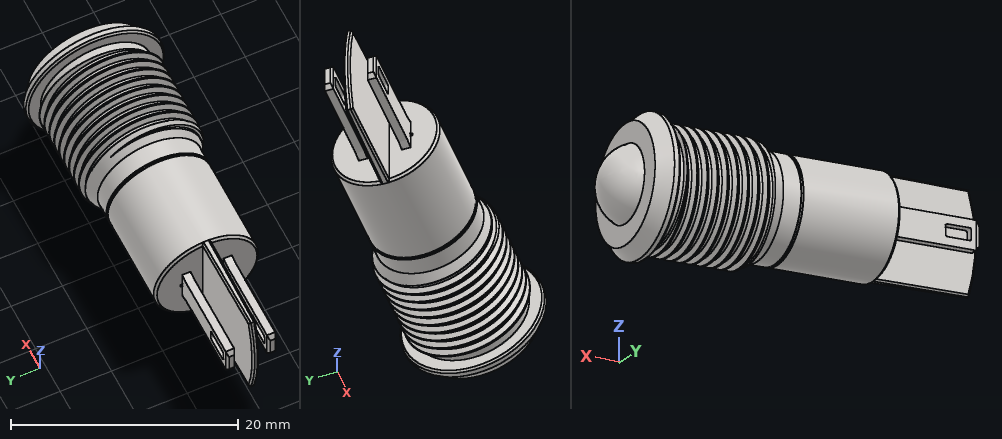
import cadquery as cq
import math

total_length = 37.22
rear_face_x = 10.0
groove_start_x = 19.65
housing_start_x = 19.88
thread_cone_x = 21.65
thread_end_x = 31.67
flange_back_x = 32.65
flange_rim_x = 33.3
flange_front_x = 34.7

barrel_radius = 5.1
groove_radius = 5.02
bore_radius = 3.7
thread_root_radius = 5.5
thread_crest_radius = 6.0
relief_radius = 5.4
flange_radius = 13.5 / 2
flange_front_radius = 5.7

barrel_chamfer = 0.22
flange_back_chamfer = 0.2

thread_pitch = 1.0
thread_crest_width = 0.15
thread_flank_angle = 30.0
thread_lead_angle = 30.0
thread_turns = 12
thread_sweep_start_x = 20.32
thread_embed = 0.1

divider_root_height = 2 * barrel_radius
divider_tip_height = 9.97
divider_root_thickness = 0.85
divider_tip_thickness = 0.65
divider_corner_x = 0.75
divider_chamfer = 0.2

terminal_offset = 2.0
terminal_thickness = 0.82
terminal_height = 2.83
terminal_root_height = 3.25
terminal_tip_x = 0.8
terminal_flare_x = 9.23
terminal_tip_taper_length = 0.37
terminal_tip_taper_height = 0.45
terminal_tip_taper_thickness = 0.15
terminal_slot_start_x = 1.65
terminal_slot_end_x = 4.2
terminal_slot_height = 1.2
terminal_slot_corner_radius = 0.22

dimple_radius = 0.2
dimple_depth = 0.2


def revolve_about_x(profile):
    return profile.close().revolve(360, (0, 0, 0), (1, 0, 0))


def make_thread_ridge():
    """Right-handed helical ridge, trimmed by the lead-in cone and the thread's end plane."""
    flank_slope = math.tan(math.radians(thread_flank_angle))
    base_radius = thread_root_radius - thread_embed
    crest_half = thread_crest_width / 2
    base_half = crest_half + (thread_crest_radius - base_radius) * flank_slope
    helix = cq.Wire.makeHelix(thread_pitch, thread_turns * thread_pitch, base_radius)
    ridge = (
        cq.Workplane("XZ")
        .moveTo(base_radius, -base_half)
        .lineTo(thread_crest_radius, -crest_half)
        .lineTo(thread_crest_radius, crest_half)
        .lineTo(base_radius, base_half)
        .close()
        .sweep(cq.Workplane(obj=helix), isFrenet=True)
        .rotate((0, 0, 0), (0, 1, 0), 90)
        .translate((thread_sweep_start_x, 0, 0))
    )
    trim_radius = thread_crest_radius + thread_embed
    lead_length = (trim_radius - barrel_radius) / math.tan(math.radians(thread_lead_angle))
    envelope = revolve_about_x(
        cq.Workplane("XY")
        .moveTo(thread_cone_x, 0)
        .lineTo(thread_cone_x, barrel_radius)
        .lineTo(thread_cone_x + lead_length, trim_radius)
        .lineTo(thread_end_x, trim_radius)
        .lineTo(thread_end_x, 0)
    )
    return ridge.intersect(envelope)


def make_housing():
    """Threaded sleeve with a flange, bored through."""
    cone_length = (thread_root_radius - barrel_radius) / math.tan(math.radians(thread_lead_angle))
    sleeve = revolve_about_x(
        cq.Workplane("XY")
        .moveTo(housing_start_x, bore_radius)
        .lineTo(housing_start_x, barrel_radius)
        .lineTo(thread_cone_x, barrel_radius)
        .lineTo(thread_cone_x + cone_length, thread_root_radius)
        .lineTo(thread_end_x, thread_root_radius)
        .lineTo(thread_end_x, relief_radius)
        .lineTo(flange_back_x, relief_radius)
        .lineTo(flange_back_x, flange_radius - flange_back_chamfer)
        .lineTo(flange_back_x + flange_back_chamfer, flange_radius)
        .lineTo(flange_rim_x, flange_radius)
        .lineTo(flange_front_x, flange_front_radius)
        .lineTo(flange_front_x, bore_radius)
    )
    return sleeve.union(make_thread_ridge())


def make_core_shaft():
    """Rear barrel, the stem that fills the housing bore, and the domed lens."""
    dome_height = total_length - flange_front_x
    dome_radius = (bore_radius**2 + dome_height**2) / (2 * dome_height)
    dome_center_x = total_length - dome_radius
    dome_mid_angle = math.asin(bore_radius / dome_radius) / 2
    dome_middle = (
        dome_center_x + dome_radius * math.cos(dome_mid_angle),
        dome_radius * math.sin(dome_mid_angle),
    )
    return revolve_about_x(
        cq.Workplane("XY")
        .moveTo(rear_face_x, 0)
        .lineTo(rear_face_x, barrel_radius - barrel_chamfer)
        .lineTo(rear_face_x + barrel_chamfer, barrel_radius)
        .lineTo(groove_start_x, barrel_radius)
        .lineTo(groove_start_x, groove_radius)
        .lineTo(housing_start_x, groove_radius)
        .lineTo(housing_start_x, bore_radius)
        .lineTo(flange_front_x, bore_radius)
        .threePointArc(dome_middle, (total_length, 0))
    )


def make_divider():
    """Plate with a bowed tip that tapers in height and thickness, edges chamfered."""
    root_x = rear_face_x + barrel_chamfer
    side_outline = (
        cq.Workplane("XZ")
        .moveTo(root_x, -divider_root_height / 2)
        .lineTo(divider_corner_x, -divider_tip_height / 2)
        .threePointArc((0, 0), (divider_corner_x, divider_tip_height / 2))
        .lineTo(root_x, divider_root_height / 2)
        .close()
        .extrude(divider_root_thickness, both=True)
    )
    taper = (
        cq.Workplane("XY")
        .moveTo(0, -divider_tip_thickness / 2)
        .lineTo(root_x, -divider_root_thickness / 2)
        .lineTo(root_x, divider_root_thickness / 2)
        .lineTo(0, divider_tip_thickness / 2)
        .close()
        .extrude(divider_root_height, both=True)
    )
    plate = side_outline.intersect(taper)
    return plate.faces("<Y or >Y").edges("not >X").chamfer(divider_chamfer)


def make_terminal(offset):
    """Blade with a tapered tip, a slot and a flared root, centred on Y = offset."""
    blade_x = terminal_tip_x + terminal_tip_taper_length
    half_height = terminal_height / 2
    half_root = terminal_root_height / 2
    blade = (
        cq.Workplane("XZ")
        .moveTo(blade_x, -half_height)
        .lineTo(terminal_flare_x, -half_height)
        .lineTo(rear_face_x, -half_root)
        .lineTo(rear_face_x, half_root)
        .lineTo(terminal_flare_x, half_height)
        .lineTo(blade_x, half_height)
        .close()
        .extrude(terminal_thickness / 2, both=True)
    )
    tip = (
        cq.Workplane("YZ", origin=(terminal_tip_x, 0, 0))
        .rect(
            terminal_thickness - 2 * terminal_tip_taper_thickness,
            terminal_height - 2 * terminal_tip_taper_height,
        )
        .workplane(offset=terminal_tip_taper_length)
        .rect(terminal_thickness, terminal_height)
        .loft(ruled=True)
    )
    slot_length = terminal_slot_end_x - terminal_slot_start_x
    slot = (
        cq.Workplane("XY")
        .box(slot_length, 2 * terminal_thickness, terminal_slot_height)
        .edges("|Y")
        .fillet(terminal_slot_corner_radius)
        .translate((terminal_slot_start_x + slot_length / 2, 0, 0))
    )
    return blade.union(tip).cut(slot).translate((0, offset, 0))


def make_dimple(side):
    outer_face_y = side * (terminal_offset + terminal_thickness / 2)
    return (
        cq.Workplane("YZ", origin=(rear_face_x, outer_face_y, 0))
        .circle(dimple_radius)
        .extrude(dimple_depth)
    )


def make_core():
    """Insulating core with its dome, divider and two terminals."""
    core = make_core_shaft().union(make_divider())
    for side in (-1, 1):
        core = core.cut(make_dimple(side))
        core = core.union(make_terminal(side * terminal_offset))
    return core


housing = make_housing()
core = make_core()

result = cq.Compound.makeCompound([housing.solids().val(), core.solids().val()])